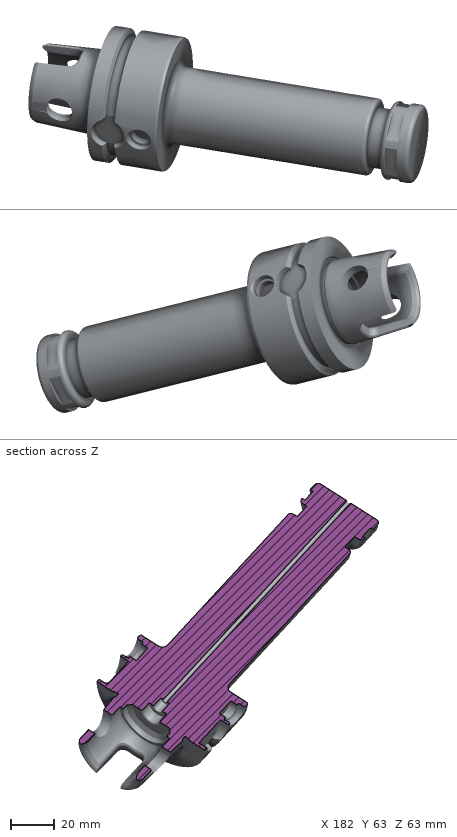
import cadquery as cq

OVERALL_LENGTH = 182.0

TAPER_END_X = 30.2
TAPER_BIG_RADIUS = 20.0
TAPER_SLOPE = 0.055
MOUTH_CHAMFER_LENGTH = 2.0
MOUTH_CHAMFER_DEPTH = 1.1
UNDERCUT_RADIUS = 19.5
UNDERCUT_SLOPE_LENGTH = 0.5
FACE_GROOVE_DEPTH = 0.5
FACE_GROOVE_RADIUS = 22.0

BORE_RADIUS = 14.4
BORE_LENGTH = 27.3
LEAD_IN_LENGTH = 3.0
LEAD_IN_RADIUS = 15.3
BORE_RIM_CHAMFER = 1.0
BOTTOM_BORE_RADIUS = 12.5
BOTTOM_RADIUS = 10.7
BOTTOM_X = 31.8

COOLANT_MOUTH_DIAMETER = 11.0
COOLANT_POCKET_DIAMETER = 10.0
COOLANT_POCKET_DEPTH = 5.5
COOLANT_STEP_DIAMETER = 5.0
COOLANT_STEP_DEPTH = 11.0
COOLANT_DIAMETER = 2.0

SLOT_WIDTH = 14.0
SLOT_END_X = 19.8
SLOT_CORNER_RADIUS = 3.8
SLOT_CHAMFER = 0.7
BALL_HOLE_DIAMETER = 12.7
BALL_HOLE_X = 15.1
KEY_GROOVE_WIDTH = 5.0
KEY_GROOVE_FLOOR = 18.4

FLANGE_RADIUS = 63.0 / 2
FLANGE_START_X = 32.0
FLANGE_END_X = 65.2
FLANGE_END_CHAMFER = 1.1
FLANGE_END_CHAMFER_DEPTH = 0.4
GRIP_GROOVE_START_X = 39.9
GRIP_GROOVE_END_X = 44.0
GRIP_GROOVE_RADIUS = 27.8
GRIP_CHAMFER_LENGTH = 1.1
GRIP_CHAMFER_DEPTH = 2.2
POCKET_DIAMETER = 16.0
POCKET_X = 41.9
POCKET_FLOOR = 26.8
SCREW_MOUTH_DIAMETER = 12.0
SCREW_THREAD_DIAMETER = 11.0
SCREW_CORE_DIAMETER = 8.5
SCREW_X = 56.8
SCREW_THREAD_DEPTH = 3.6
SCREW_CORE_DEPTH = 7.3

SHAFT_RADIUS = 36.0 / 2
SHAFT_END_X = 161.0
SHAFT_ROOT_FILLET = 3.1
SHAFT_END_FILLET = 1.6
NECK_RADIUS = 28.0 / 2

NUT_START_X = 168.2
NUT_RADIUS = 18.4
NUT_FILLET = 2.0
NUT_FLAT_COUNT = 6
NUT_FLAT_RADIUS = 16.7
NUT_FLAT_START_X = 170.5
NUT_FLAT_END_X = 176.4


def revolve_about_x(outline):
    return outline.close().revolve(360, (0, 0, 0), (1, 0, 0))


def cylinder_along_y(diameter, x, y_start, y_end):
    """Cylinder parallel to Y, standing at the given X."""
    return (
        cq.Workplane("XZ", origin=(x, y_start, 0))
        .circle(diameter / 2)
        .extrude(y_start - y_end)
    )


def cylinder_along_x(diameter, x_start, x_end):
    return (
        cq.Workplane("YZ", origin=(x_start, 0, 0))
        .circle(diameter / 2)
        .extrude(x_end - x_start)
    )


def turn_half(tool):
    """The tool together with its copy turned half a revolution about X."""
    return tool.union(tool.rotate((0, 0, 0), (1, 0, 0), 180))


def make_shank():
    """Hollow taper, from the open mouth up to the undercut."""
    mouth_radius = TAPER_BIG_RADIUS - TAPER_SLOPE * TAPER_END_X
    shank = revolve_about_x(
        cq.Workplane("XY")
        .moveTo(0, 0)
        .lineTo(0, mouth_radius)
        .lineTo(TAPER_END_X, TAPER_BIG_RADIUS)
        .lineTo(TAPER_END_X, 0)
    )
    shank = shank.cut(make_bore()).cut(make_slot())
    shank = chamfer_slots(shank)
    return shank.cut(make_mouth_chamfer(mouth_radius)).cut(make_lead_in())


def make_slot():
    """Drive slot crossing both walls of the shank, open at the mouth."""
    return (
        cq.Workplane("XY")
        .box(2 * SLOT_END_X, SLOT_WIDTH, 2 * FLANGE_RADIUS)
        .edges(">X and |Z")
        .fillet(SLOT_CORNER_RADIUS)
    )


def chamfer_slots(shank):
    """Break the slot edges on the outer taper and in the bore."""
    taper_face = max(shank.faces("%CONE").vals(), key=lambda face: face.Area())
    bore_face = max(shank.faces("%CYLINDER").vals(), key=lambda face: face.Area())
    slot_edges = [
        edge
        for edge in taper_face.Edges() + bore_face.Edges()
        if 0 < edge.Center().x <= SLOT_END_X
    ]
    return shank.newObject(slot_edges).chamfer(SLOT_CHAMFER)


def make_mouth_chamfer(mouth_radius):
    """Ring that bevels the outer rim of the mouth."""
    rim_radius = mouth_radius + TAPER_SLOPE * MOUTH_CHAMFER_LENGTH
    return revolve_about_x(
        cq.Workplane("XY")
        .moveTo(0, rim_radius - MOUTH_CHAMFER_DEPTH)
        .lineTo(MOUTH_CHAMFER_LENGTH, rim_radius)
        .lineTo(MOUTH_CHAMFER_LENGTH, FLANGE_RADIUS)
        .lineTo(0, FLANGE_RADIUS)
    )


def make_lead_in():
    """Steep rim chamfer and slimmer cone that open the bore towards the mouth."""
    return revolve_about_x(
        cq.Workplane("XY")
        .moveTo(0, 0)
        .lineTo(0, LEAD_IN_RADIUS + BORE_RIM_CHAMFER)
        .lineTo(BORE_RIM_CHAMFER, LEAD_IN_RADIUS)
        .lineTo(LEAD_IN_LENGTH, BORE_RADIUS)
        .lineTo(LEAD_IN_LENGTH, 0)
    )


def make_bore():
    """Plain bore ending in a narrower pocket with a bevelled floor."""
    return revolve_about_x(
        cq.Workplane("XY")
        .moveTo(0, 0)
        .lineTo(0, BORE_RADIUS)
        .lineTo(BORE_LENGTH, BORE_RADIUS)
        .lineTo(BORE_LENGTH, BOTTOM_BORE_RADIUS)
        .lineTo(BOTTOM_X - (BOTTOM_BORE_RADIUS - BOTTOM_RADIUS), BOTTOM_BORE_RADIUS)
        .lineTo(BOTTOM_X, BOTTOM_RADIUS)
        .lineTo(BOTTOM_X, 0)
    )


def make_body():
    """Undercut, flange, shaft and neck turned in one piece."""
    flange_rim = FLANGE_RADIUS - FLANGE_END_CHAMFER_DEPTH
    groove_floor_x = FLANGE_START_X + FACE_GROOVE_DEPTH
    grip_wall_radius = FLANGE_RADIUS - GRIP_CHAMFER_DEPTH
    body = revolve_about_x(
        cq.Workplane("XY")
        .moveTo(TAPER_END_X, 0)
        .lineTo(TAPER_END_X, TAPER_BIG_RADIUS)
        .lineTo(TAPER_END_X + UNDERCUT_SLOPE_LENGTH, UNDERCUT_RADIUS)
        .lineTo(groove_floor_x, UNDERCUT_RADIUS)
        .lineTo(groove_floor_x, FACE_GROOVE_RADIUS - FACE_GROOVE_DEPTH)
        .lineTo(FLANGE_START_X, FACE_GROOVE_RADIUS)
        .lineTo(FLANGE_START_X, FLANGE_RADIUS)
        .lineTo(GRIP_GROOVE_START_X - GRIP_CHAMFER_LENGTH, FLANGE_RADIUS)
        .lineTo(GRIP_GROOVE_START_X, grip_wall_radius)
        .lineTo(GRIP_GROOVE_START_X, GRIP_GROOVE_RADIUS)
        .lineTo(GRIP_GROOVE_END_X, GRIP_GROOVE_RADIUS)
        .lineTo(GRIP_GROOVE_END_X, grip_wall_radius)
        .lineTo(GRIP_GROOVE_END_X + GRIP_CHAMFER_LENGTH, FLANGE_RADIUS)
        .lineTo(FLANGE_END_X - FLANGE_END_CHAMFER, FLANGE_RADIUS)
        .lineTo(FLANGE_END_X, flange_rim)
        .lineTo(FLANGE_END_X, SHAFT_RADIUS + SHAFT_ROOT_FILLET)
        .radiusArc((FLANGE_END_X + SHAFT_ROOT_FILLET, SHAFT_RADIUS), -SHAFT_ROOT_FILLET)
        .lineTo(SHAFT_END_X - SHAFT_END_FILLET, SHAFT_RADIUS)
        .radiusArc((SHAFT_END_X, SHAFT_RADIUS - SHAFT_END_FILLET), SHAFT_END_FILLET)
        .lineTo(SHAFT_END_X, NECK_RADIUS)
        .lineTo(NUT_START_X, NECK_RADIUS)
        .lineTo(NUT_START_X, 0)
    )
    return body.cut(make_bore())


def make_nut():
    """Round clamping nut with a ring of spanner flats sunk between its two rims."""
    nut = cylinder_along_x(2 * NUT_RADIUS, NUT_START_X, OVERALL_LENGTH).edges().fillet(NUT_FILLET)
    flat_length = NUT_FLAT_END_X - NUT_FLAT_START_X
    flat_cutter = cq.Workplane("XY").box(
        flat_length,
        NUT_RADIUS,
        2 * NUT_RADIUS,
        centered=(False, False, True),
    )
    flat_cutter = flat_cutter.translate((NUT_FLAT_START_X, NUT_FLAT_RADIUS, 0))
    for index in range(NUT_FLAT_COUNT):
        angle = index * 360 / NUT_FLAT_COUNT
        nut = nut.cut(flat_cutter.rotate((0, 0, 0), (1, 0, 0), angle))
    return nut


def make_coolant_passage():
    """Axial drilling, stepped at its shank end and open through the nut face."""
    mouth_radius = COOLANT_MOUTH_DIAMETER / 2
    pocket_radius = COOLANT_POCKET_DIAMETER / 2
    mouth = revolve_about_x(
        cq.Workplane("XY")
        .moveTo(BOTTOM_X, 0)
        .lineTo(BOTTOM_X, mouth_radius)
        .lineTo(BOTTOM_X + mouth_radius - pocket_radius, pocket_radius)
        .lineTo(BOTTOM_X + COOLANT_POCKET_DEPTH, pocket_radius)
        .lineTo(BOTTOM_X + COOLANT_POCKET_DEPTH, 0)
    )
    step = cylinder_along_x(COOLANT_STEP_DIAMETER, BOTTOM_X, BOTTOM_X + COOLANT_STEP_DEPTH)
    drilling = cylinder_along_x(COOLANT_DIAMETER, BOTTOM_X, OVERALL_LENGTH)
    return mouth.union(step).union(drilling)


def make_key_groove():
    """Shallow flat groove from the mouth to the ball hole, on the +Y side."""
    return cq.Workplane("XY", origin=(0, KEY_GROOVE_FLOOR, 0)).box(
        BALL_HOLE_X,
        TAPER_BIG_RADIUS,
        KEY_GROOVE_WIDTH,
        centered=(False, False, True),
    )


def make_screw_hole():
    """Stepped blind hole with a bevelled mouth, on the +Y side of the flange."""
    mouth_bevel = (SCREW_MOUTH_DIAMETER - SCREW_THREAD_DIAMETER) / 2
    thread = cylinder_along_y(
        SCREW_THREAD_DIAMETER,
        SCREW_X,
        FLANGE_RADIUS - SCREW_THREAD_DEPTH,
        FLANGE_RADIUS,
    )
    core = cylinder_along_y(
        SCREW_CORE_DIAMETER,
        SCREW_X,
        FLANGE_RADIUS - SCREW_CORE_DEPTH,
        FLANGE_RADIUS,
    )
    mouth = cq.Workplane(
        cq.Solid.makeCone(
            SCREW_MOUTH_DIAMETER / 2,
            SCREW_THREAD_DIAMETER / 2,
            mouth_bevel,
            pnt=cq.Vector(SCREW_X, FLANGE_RADIUS, 0),
            dir=cq.Vector(0, -1, 0),
        )
    )
    return mouth.union(thread).union(core)


ball_hole = cylinder_along_y(BALL_HOLE_DIAMETER, BALL_HOLE_X, -FLANGE_RADIUS, FLANGE_RADIUS)
gripper_pocket = cylinder_along_y(POCKET_DIAMETER, POCKET_X, POCKET_FLOOR, FLANGE_RADIUS)

result = (
    make_shank()
    .union(make_body())
    .union(make_nut())
    .cut(make_coolant_passage())
    .cut(ball_hole)
    .cut(turn_half(make_key_groove()))
    .cut(turn_half(gripper_pocket))
    .cut(turn_half(make_screw_hole()))
)